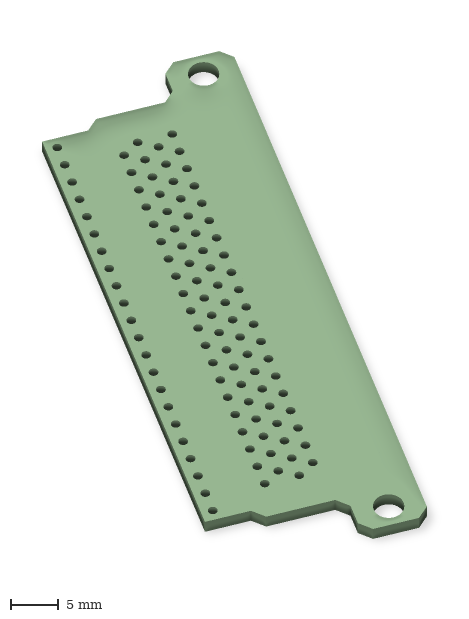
import cadquery as cq

length = 68.6
thickness = 1.6
grid_steps_along_length = 27
grid = length / grid_steps_along_length
width = 9 * grid
chamfer = grid / 2

tab_half_width = length / 2
tab_height = 3 * grid
tab_bottom = width - tab_height
body_half_width = tab_half_width - 2 * grid
body_bottom = 2 * grid
edge_half_width = body_half_width - chamfer

mount_diameter = 3.3
mount_offset = tab_half_width - grid
mount_y = width - tab_height / 2

pin_diameter = 1.0
body_row_count = 4
body_row_holes = 20
body_row_spacing = 0.75 * grid
top_row_y = width - 3.75 * grid
stagger = grid / 4
edge_row_holes = 22
edge_row_y = grid / 2


def row_points(count, center_x, y):
    """Points one grid step apart along X, centered on center_x."""
    start_x = center_x - (count - 1) * grid / 2
    return [(start_x + i * grid, y) for i in range(count)]


def make_plate():
    """Flat plate, symmetric about X = 0, with 45-degree corners at each step."""
    right_side = [
        (edge_half_width, 0),
        (edge_half_width, body_bottom),
        (body_half_width, body_bottom + chamfer),
        (body_half_width, tab_bottom - chamfer),
        (body_half_width + chamfer, tab_bottom),
        (tab_half_width - chamfer, tab_bottom),
        (tab_half_width, tab_bottom + chamfer),
        (tab_half_width, width - chamfer),
        (tab_half_width - chamfer, width),
    ]
    left_side = [(-x, y) for x, y in reversed(right_side)]
    return cq.Workplane("XY").polyline(right_side + left_side).close().extrude(thickness)


def make_holes(points, diameter):
    """Cylinders through the full thickness at the given points."""
    return cq.Workplane("XY").pushPoints(points).circle(diameter / 2).extrude(thickness)


def pin_points():
    """Centers of all small holes; alternate body rows shift left and right."""
    points = row_points(edge_row_holes, 0, edge_row_y)
    for row in range(body_row_count):
        shift = -stagger if row % 2 == 0 else stagger
        points += row_points(body_row_holes, shift, top_row_y - row * body_row_spacing)
    return points


mount_points = [(-mount_offset, mount_y), (mount_offset, mount_y)]

result = make_plate()
result = result.cut(make_holes(mount_points, mount_diameter))
result = result.cut(make_holes(pin_points(), pin_diameter))